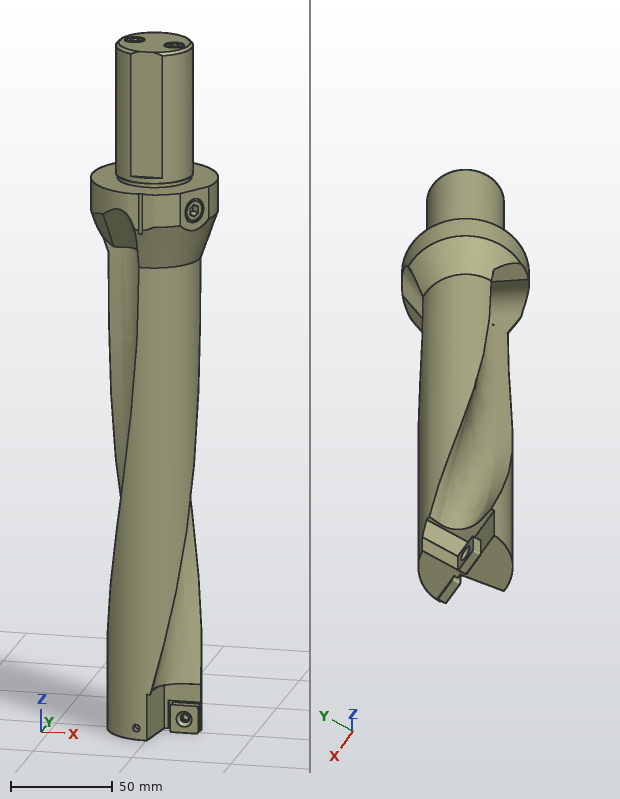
import cadquery as cq
import math

TOTAL_LENGTH = 353.2
BODY_BOTTOM = 1.0
POCKET_TOP = 24.7
NECK_Z = 244.0
CONE_TOP = 267.5
FLANGE_TOP = 284.0

STEM_RADIUS = 23.3
FLANGE_RADIUS = 31.5
SHANK_RADIUS = 19.0
SHANK_CHAMFER = 1.5

SHANK_FLAT_Y = -17.3
SHANK_FLAT_BOTTOM = 289.0
RELIEF_RADIUS = 18.5
RELIEF_HEIGHT = 2.0

FLANGE_FLAT = 30.7
INDEX_GROOVE_WIDTH = 1.8
INDEX_GROOVE_DEPTH = 0.7
PLUG_FLAT = 30.0
PLUG_FLAT_ANGLE = -36.0

FLUTE_WALL_X = -2.5
FLUTE_WALL_Y = -0.5
FLUTE_CORNER_RADIUS = 14.5
FLUTE_REACH = 39.0
FLUTE_TWIST = 83.0
FLUTE_GUIDE_POINTS = 40
RAMP_OFFSET = 246.5
RAMP_CORNER_RADIUS = 12.5
RAMP_FACET_X = -20.5
RAMP_FACET_ANGLE = 30.0

OUTER_POCKET_MOUTH_X = 1.5
OUTER_POCKET_ROOT_X = 5.0
OUTER_POCKET_FLOOR_Y = 0.0
INNER_POCKET_SLOPE = 4.2
INNER_POCKET_WALL_X = -3.2
SEAT_Y = 2.0

INSERT_SIZE = 14.0
INSERT_THICKNESS = 4.5
INSERT_CORNER = 1.0
INSERT_HOLE_RADIUS = 2.0
INSERT_SINK_RADIUS = 4.0
INSERT_SINK_ANGLE = 90.0
OUTER_INSERT_X = 15.5
INNER_INSERT_X = 4.0
SCREW_HOLE_RADIUS = 1.8
SCREW_HOLE_DEPTH = 10.5
SEAT_GAP = 1.5
LAND_HOLE_RADIUS = 1.8
LAND_HOLE_DEPTH = 5.3

SHANK_PLUG_RADIUS = 5.0
SHANK_PLUG_X = 10.5
SHANK_PLUG_Y = -2.5
FLANGE_PLUG_RADIUS = 6.0
PLUG_LENGTH = 9.0
PLUG_CHAMFER = 1.0
FLANGE_PLUG_Z = 273.5

HALF_TURNS = (0, 180)


def spin(shape, angle):
    """Turn a workplane object about the drill axis."""
    return shape.rotate((0, 0, 0), (0, 0, 1), angle)


def make_blank():
    """Stem, cone, flange and shank as one turned profile."""
    return (
        cq.Workplane("XZ")
        .moveTo(0, BODY_BOTTOM)
        .lineTo(STEM_RADIUS, BODY_BOTTOM)
        .lineTo(STEM_RADIUS, NECK_Z)
        .lineTo(FLANGE_RADIUS, CONE_TOP)
        .lineTo(FLANGE_RADIUS, FLANGE_TOP)
        .lineTo(RELIEF_RADIUS, FLANGE_TOP)
        .lineTo(RELIEF_RADIUS, FLANGE_TOP + RELIEF_HEIGHT)
        .lineTo(SHANK_RADIUS, FLANGE_TOP + RELIEF_HEIGHT)
        .lineTo(SHANK_RADIUS, TOTAL_LENGTH - SHANK_CHAMFER)
        .lineTo(SHANK_RADIUS - SHANK_CHAMFER, TOTAL_LENGTH)
        .lineTo(0, TOTAL_LENGTH)
        .close()
        .revolve(360, (0, 0, 0), (0, 1, 0))
    )


def rounded_quadrant(workplane, corner_x, corner_y, radius):
    """Outline open towards -x and -y, bounded by two walls with a rounded corner."""
    arc_x = corner_x - radius
    arc_y = corner_y - radius
    diagonal = radius * math.sqrt(0.5)
    return (
        workplane.moveTo(-FLUTE_REACH, corner_y)
        .lineTo(arc_x, corner_y)
        .threePointArc((arc_x + diagonal, arc_y + diagonal), (corner_x, arc_y))
        .lineTo(corner_x, -FLUTE_REACH)
        .lineTo(-FLUTE_REACH, -FLUTE_REACH)
        .close()
    )


def flute_section():
    """Flute outline as it stands at the neck."""
    neck_plane = cq.Workplane("XY", origin=(0, 0, NECK_Z))
    return rounded_quadrant(neck_plane, FLUTE_WALL_X, FLUTE_WALL_Y, FLUTE_CORNER_RADIUS)


def make_twisted_flute():
    """Flute from the neck down; the turn grows with the square of the depth."""
    depth = NECK_Z - POCKET_TOP

    def guide_point(t):
        angle = math.radians(-FLUTE_TWIST * t ** 2)
        guide_x = FLUTE_REACH * math.cos(angle)
        guide_y = FLUTE_REACH * math.sin(angle)
        return (guide_x, guide_y, NECK_Z - depth * t)

    guide = cq.Workplane("XY").parametricCurve(guide_point, N=FLUTE_GUIDE_POINTS)
    axis = cq.Workplane("XZ").moveTo(0, NECK_Z).lineTo(0, POCKET_TOP)
    return flute_section().sweep(axis, auxSpine=guide)


def make_flute_runout():
    """Straight top end of a flute, closed by a 45 degree ramp through the flange."""
    channel = flute_section().extrude(FLUTE_REACH)
    ramp_plane = cq.Plane(origin=(0, 0, RAMP_OFFSET), xDir=(1, 0, 0), normal=(0, -1, 1))
    ramp_section = rounded_quadrant(cq.Workplane(ramp_plane), FLUTE_WALL_X, 0, RAMP_CORNER_RADIUS)
    under_ramp = ramp_section.extrude(2 * FLUTE_REACH, both=True)
    facet_rise = (FLUTE_REACH + RAMP_FACET_X) * math.tan(math.radians(RAMP_FACET_ANGLE))
    facet = (
        cq.Workplane(ramp_plane)
        .moveTo(RAMP_FACET_X, 0)
        .lineTo(-FLUTE_REACH, facet_rise)
        .lineTo(-FLUTE_REACH, 0)
        .close()
        .extrude(2 * FLUTE_REACH, both=True)
    )
    return channel.intersect(under_ramp.union(facet))


def make_outer_pocket():
    """Straight clearance in front of the outer insert, with a slanted side wall."""
    return (
        cq.Workplane("XY")
        .moveTo(OUTER_POCKET_ROOT_X, OUTER_POCKET_FLOOR_Y)
        .lineTo(FLUTE_REACH, OUTER_POCKET_FLOOR_Y)
        .lineTo(FLUTE_REACH, -FLUTE_REACH)
        .lineTo(OUTER_POCKET_MOUTH_X, -FLUTE_REACH)
        .lineTo(OUTER_POCKET_MOUTH_X, -STEM_RADIUS)
        .close()
        .extrude(POCKET_TOP)
    )


def make_inner_pocket():
    """Clearance in front of the inner insert; its side wall slopes outwards above the insert."""
    return (
        cq.Workplane("XZ", origin=(0, SEAT_Y, 0))
        .moveTo(INNER_POCKET_WALL_X, 0)
        .lineTo(INNER_POCKET_WALL_X, INSERT_SIZE)
        .lineTo(INNER_POCKET_WALL_X + INNER_POCKET_SLOPE, POCKET_TOP)
        .lineTo(FLUTE_REACH, POCKET_TOP)
        .lineTo(FLUTE_REACH, 0)
        .close()
        .extrude(FLUTE_REACH)
    )


def insert_block(center_x):
    """Square block on the seat plane, facing -Y, standing on the tip plane."""
    return (
        cq.Workplane("XZ", origin=(center_x, SEAT_Y, INSERT_SIZE / 2))
        .rect(INSERT_SIZE, INSERT_SIZE)
        .extrude(INSERT_THICKNESS)
    )


def make_insert(center_x):
    """Cutting insert with rounded corners and a countersunk screw hole."""
    return (
        insert_block(center_x)
        .edges("|Y")
        .fillet(INSERT_CORNER)
        .faces("<Y")
        .workplane(centerOption="CenterOfBoundBox")
        .cskHole(2 * INSERT_HOLE_RADIUS, 2 * INSERT_SINK_RADIUS, INSERT_SINK_ANGLE)
    )


def make_seat_gap():
    """Clearance along the inner side and the top of the outer insert."""
    enlarged = INSERT_SIZE + SEAT_GAP
    return (
        cq.Workplane("XZ", origin=(OUTER_INSERT_X - SEAT_GAP / 2, SEAT_Y, enlarged / 2))
        .rect(enlarged, enlarged)
        .extrude(INSERT_THICKNESS)
    )


def make_screw_hole(center_x):
    """Blind screw hole in the seat behind an insert."""
    return (
        cq.Workplane("XZ", origin=(center_x, SEAT_Y, INSERT_SIZE / 2))
        .circle(SCREW_HOLE_RADIUS)
        .extrude(-SCREW_HOLE_DEPTH)
    )


def make_land_hole():
    """Blind hole in the stem surface, in line with the screw of the inner insert."""
    return (
        cq.Workplane("XZ", origin=(-INNER_INSERT_X, -STEM_RADIUS, INSERT_SIZE / 2))
        .circle(LAND_HOLE_RADIUS)
        .extrude(-LAND_HOLE_DEPTH)
    )


def make_plug(plane, radius):
    """Screw plug with its chamfered outer face on the plane and a hexagon socket."""
    return (
        cq.Workplane(plane)
        .circle(radius)
        .extrude(-PLUG_LENGTH)
        .faces(cq.selectors.DirectionMinMaxSelector(plane.zDir))
        .chamfer(PLUG_CHAMFER)
        .copyWorkplane(cq.Workplane(plane))
        .polygon(6, radius)
        .extrude(-PLUG_LENGTH / 2, combine="cut")
    )


def make_plug_seat(plane, radius):
    """Round recess that a plug fills."""
    return cq.Workplane(plane).circle(radius).extrude(-PLUG_LENGTH)


def flat_cutter(distance, bottom, top):
    """Block removing everything beyond a flat that faces -Y."""
    return cq.Workplane("XY", origin=(0, -distance - FLANGE_RADIUS / 2, bottom)).box(
        2 * FLANGE_RADIUS, FLANGE_RADIUS, top - bottom, centered=(True, True, False)
    )


plug_direction = cq.Vector(
    math.cos(math.radians(PLUG_FLAT_ANGLE)),
    math.sin(math.radians(PLUG_FLAT_ANGLE)),
    0,
)
flange_plug_plane = cq.Plane(
    origin=(plug_direction * PLUG_FLAT + cq.Vector(0, 0, FLANGE_PLUG_Z)).toTuple(),
    xDir=(0, 0, 1),
    normal=plug_direction.toTuple(),
)
shank_plug_planes = [
    cq.Plane(origin=(side * SHANK_PLUG_X, side * SHANK_PLUG_Y, TOTAL_LENGTH)) for side in (1, -1)
]

body = make_blank()
body = body.cut(flat_cutter(-SHANK_FLAT_Y, SHANK_FLAT_BOTTOM, TOTAL_LENGTH))
body = body.cut(flat_cutter(FLANGE_FLAT, NECK_Z, FLANGE_TOP))
body = body.cut(spin(flat_cutter(PLUG_FLAT, NECK_Z, FLANGE_TOP), PLUG_FLAT_ANGLE + 90))
index_groove = cq.Workplane("XY", origin=(0, -FLANGE_FLAT, NECK_Z)).box(
    INDEX_GROOVE_WIDTH, 2 * INDEX_GROOVE_DEPTH, FLANGE_TOP - NECK_Z, centered=(True, True, False)
)
body = body.cut(index_groove)
for turn in HALF_TURNS:
    body = body.cut(spin(make_twisted_flute(), turn))
    body = body.cut(spin(make_flute_runout(), turn))
body = body.cut(make_outer_pocket())
body = body.cut(spin(make_inner_pocket(), HALF_TURNS[1]))
body = body.cut(make_seat_gap())
body = body.cut(make_land_hole())

inserts = []
for center_x, turn in zip((OUTER_INSERT_X, INNER_INSERT_X), HALF_TURNS):
    body = body.cut(spin(insert_block(center_x), turn))
    body = body.cut(spin(make_screw_hole(center_x), turn))
    inserts.append(spin(make_insert(center_x), turn))

plugs = []
plug_places = [(plane, SHANK_PLUG_RADIUS) for plane in shank_plug_planes]
plug_places.append((flange_plug_plane, FLANGE_PLUG_RADIUS))
for plane, radius in plug_places:
    body = body.cut(make_plug_seat(plane, radius))
    plugs.append(make_plug(plane, radius))

result = cq.Compound.makeCompound(
    [body.val(), *[insert.val() for insert in inserts], *[plug.val() for plug in plugs]]
)